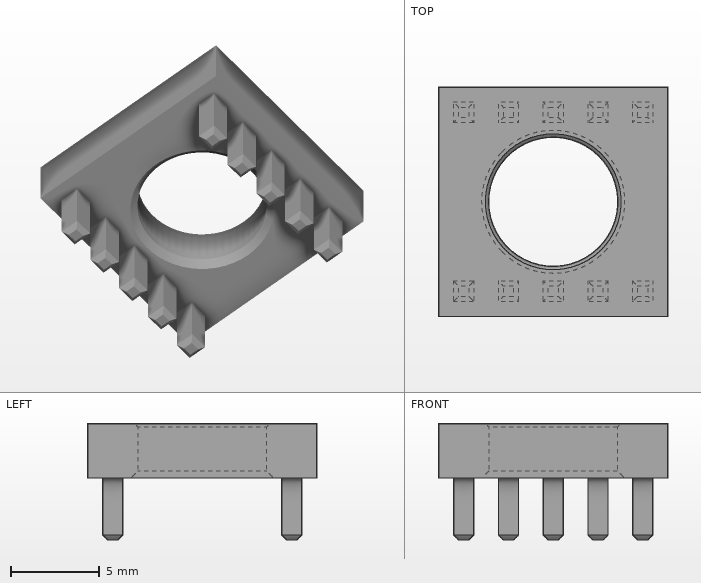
import cadquery as cq

body_side = 13.0
body_height = 3.1

hole_diameter = 7.3
upper_chamfer = 0.2
lower_chamfer = 0.4

total_height = 6.6
pin_length = total_height - body_height
pin_width = 1.15
pin_tip_chamfer = 0.29
pins_per_row = 5
pin_pitch = 2.54
row_spacing = (pins_per_row - 1) * pin_pitch


def make_body():
    """Square block resting on Z = 0 with a central hole chamfered at both rims."""
    block = cq.Workplane("XY").box(body_side, body_side, body_height, centered=(True, True, False))
    drilled = block.faces(">Z").workplane().hole(hole_diameter)
    eased_top = drilled.faces(">Z").edges("%CIRCLE").chamfer(upper_chamfer)
    return eased_top.faces("<Z").edges("%CIRCLE").chamfer(lower_chamfer)


def make_pins():
    """Pins hanging below Z = 0, each tapered at its lower end."""
    return (
        cq.Workplane("XY")
        .rarray(pin_pitch, row_spacing, pins_per_row, 2)
        .rect(pin_width, pin_width)
        .extrude(-pin_length)
        .faces("<Z")
        .chamfer(pin_tip_chamfer)
    )


result = make_body().union(make_pins())